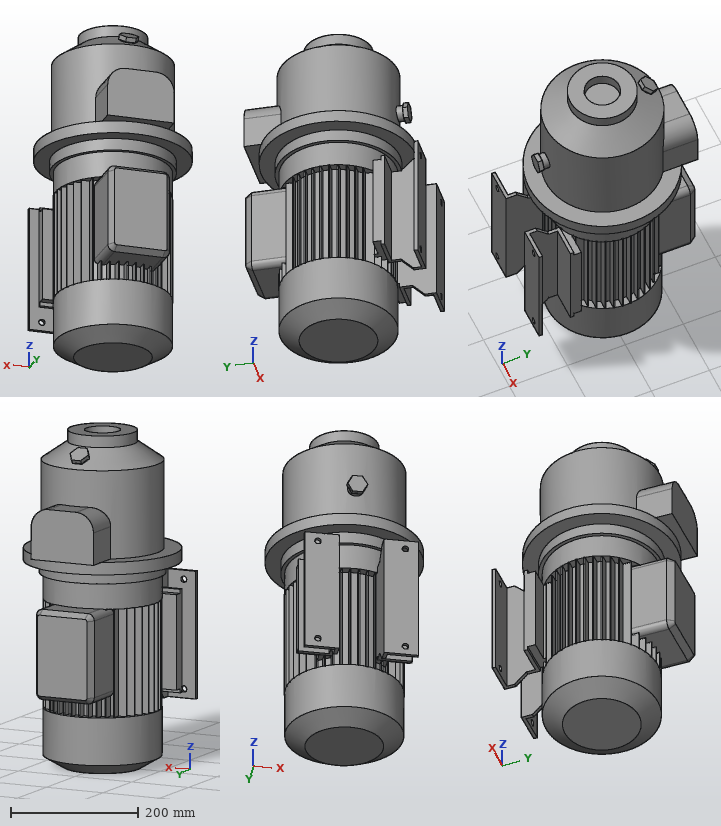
import cadquery as cq
import math


tail_cone_top = 19.0
fins_bottom = 95.5
fins_top = 269.5
motor_ring_bottom = 311.5
flange_bottom = 331.0
flange_top = 351.0
casing_cone_bottom = 492.5
neck_bottom = 521.5
overall_height = 540.0

motor_radius = 94.0
tail_end_radius = 62.0
motor_ring_radius = 100.0

core_radius = 80.0
fin_length = 15.0
fin_thickness = 2.0
fin_pitch_angle = 10.0
fins_per_side = 10

box_width = 102.0
box_bottom = 125.5
box_top = 270.5
box_corner_radius = 11.0
box_back = 140.0
box_bevel_depth = 11.0
box_bevel_inset = 7.5

foot_inner_x = 36.0
foot_outer_x = 91.0
foot_sheet = 6.0
foot_front_y = -150.0
foot_middle_z = 193.0
foot_height = 205.0
foot_narrow_height = 166.0
foot_slope_start_y = -131.0
foot_slope_end_y = -111.0
foot_flange_front_y = -96.0
foot_hole_diameter = 10.0
foot_hole_x = 70.0
foot_hole_spacing = 176.0
pad_height = 153.0
pad_back_y = -77.0
pad_neck_outer_x = 55.0
pad_neck_back_y = -58.0

flange_radius = 125.0
casing_radius = 97.0
neck_radius = 55.0
inlet_radius = 28.5
inlet_depth = overall_height - neck_bottom

outlet_width = 110.0
outlet_top = 433.5
outlet_corner_radius = 30.5
outlet_back = 140.0

plug_across_flats = 28.0
plug_head_height = 8.0
plug_stem_diameter = 25.5
drain_plug_z = 411.5
drain_stem_length = 10.0
vent_stem_length = 1.0
plug_root = 10.0


def box_between(x_range, y_range, z_range):
    """Box given by its lower and upper limits on each axis."""
    return cq.Workplane("XY").box(
        x_range[1] - x_range[0], y_range[1] - y_range[0], z_range[1] - z_range[0], centered=False
    ).translate((x_range[0], y_range[0], z_range[0]))


def revolved(profile):
    """Solid of revolution about Z from (radius, height) points."""
    return cq.Workplane("XZ").polyline(profile).close().revolve(360, (0, 0, 0), (0, 1, 0))



def motor_core():
    return revolved([
        (0, 0),
        (tail_end_radius, 0),
        (motor_radius, tail_cone_top),
        (motor_radius, fins_bottom),
        (core_radius, fins_bottom),
        (core_radius, fins_top),
        (motor_radius, fins_top),
        (motor_radius, motor_ring_bottom),
        (motor_ring_radius, motor_ring_bottom),
        (motor_ring_radius, flange_bottom),
        (0, flange_bottom),
    ])


def cooling_fins():
    """Four sets of parallel fins; roots are evenly spaced round the core, each fin equally tall.

    The fins between the feet are trimmed level with the motor pads.
    """
    beyond_feet = box_between(
        (-core_radius, core_radius),
        (foot_front_y, foot_flange_front_y + foot_sheet),
        (fins_bottom, fins_top),
    )
    fins = cq.Workplane("XY")
    for side in range(4):
        for index in range(fins_per_side):
            angle = math.radians(fin_pitch_angle * (index - (fins_per_side - 1) / 2))
            offset = core_radius * math.sin(angle)
            root = core_radius * math.cos(angle)
            fin = box_between(
                (root - fin_length, root + fin_length),
                (offset - fin_thickness / 2, offset + fin_thickness / 2),
                (fins_bottom, fins_top),
            )
            fins = fins.union(fin.rotate((0, 0, 0), (0, 0, 1), 90 * side))
    return fins.cut(beyond_feet)


def terminal_box():
    """Box on the +Y side with rounded corners and a bevelled lid."""
    middle = (box_bottom + box_top) / 2
    height = box_top - box_bottom
    lid_base = box_back - box_bevel_depth
    body = (
        cq.Workplane("XZ").center(0, middle).rect(box_width, height).extrude(-lid_base)
        .edges("|Y").fillet(box_corner_radius)
    )
    lid_face = cq.Sketch().rect(box_width, height).vertices().fillet(box_corner_radius)
    lid_end = (
        cq.Sketch().rect(box_width - 2 * box_bevel_inset, height - 2 * box_bevel_inset)
        .vertices().fillet(box_corner_radius - box_bevel_inset)
    )
    lid = (
        cq.Workplane("XZ", origin=(0, lid_base, middle))
        .placeSketch(lid_face, lid_end.moved(cq.Location(cq.Vector(0, 0, -box_bevel_depth)))).loft()
    )
    return body.union(lid)


def foot():
    """Foot on the +X side: plate, tapered web and a flange against a pad necked down to the core."""
    half_height = foot_height / 2
    half_narrow = foot_narrow_height / 2
    flange_back_y = foot_flange_front_y + foot_sheet
    web = (
        cq.Workplane("YZ", origin=(foot_inner_x, 0, foot_middle_z))
        .polyline([
            (foot_front_y, -half_height),
            (foot_slope_start_y, -half_height),
            (foot_slope_end_y, -half_narrow),
            (flange_back_y, -half_narrow),
            (flange_back_y, half_narrow),
            (foot_slope_end_y, half_narrow),
            (foot_slope_start_y, half_height),
            (foot_front_y, half_height),
        ])
        .close().extrude(foot_sheet)
    )
    plate = box_between(
        (foot_inner_x, foot_outer_x),
        (foot_front_y, foot_front_y + foot_sheet),
        (foot_middle_z - half_height, foot_middle_z + half_height),
    )
    holes = (
        cq.Workplane("XZ", origin=(foot_hole_x, foot_front_y, foot_middle_z))
        .rarray(1, foot_hole_spacing, 1, 2).circle(foot_hole_diameter / 2).extrude(-foot_sheet)
    )
    flange = box_between(
        (foot_inner_x, foot_outer_x),
        (foot_flange_front_y, flange_back_y),
        (foot_middle_z - half_narrow, foot_middle_z + half_narrow),
    )
    pad = box_between(
        (foot_inner_x, foot_outer_x),
        (flange_back_y, pad_back_y),
        (foot_middle_z - pad_height / 2, foot_middle_z + pad_height / 2),
    )
    pad_neck = box_between(
        (foot_inner_x, pad_neck_outer_x),
        (pad_back_y, pad_neck_back_y),
        (foot_middle_z - pad_height / 2, foot_middle_z + pad_height / 2),
    )
    return plate.cut(holes).union(web).union(flange).union(pad).union(pad_neck)


def build_motor():
    right_foot = foot()
    left_foot = right_foot.mirror("YZ")
    return motor_core().union(cooling_fins()).union(terminal_box()).union(right_foot).union(left_foot)



def pump_casing():
    return revolved([
        (0, flange_bottom),
        (flange_radius, flange_bottom),
        (flange_radius, flange_top),
        (casing_radius, flange_top),
        (casing_radius, casing_cone_bottom),
        (neck_radius, neck_bottom),
        (neck_radius, overall_height),
        (0, overall_height),
    ])


def outlet():
    """Outlet block towards +Y, standing on the flange, with rounded upper corners."""
    height = outlet_top - flange_top
    return (
        cq.Workplane("XZ", origin=(0, 0, flange_top + height / 2))
        .rect(outlet_width, height).extrude(-outlet_back)
        .edges("|Y and >Z").fillet(outlet_corner_radius)
    )


def plug(seat, direction, stem_length):
    """Hexagon-headed plug standing on a seat point, two corners of the head along X."""
    plane = cq.Plane(origin=seat, xDir=(1, 0, 0), normal=direction)
    stem = (
        cq.Workplane(plane).workplane(offset=-plug_root)
        .circle(plug_stem_diameter / 2).extrude(plug_root + stem_length)
    )
    across_corners = plug_across_flats / math.cos(math.pi / 6)
    head = cq.Workplane(plane).workplane(offset=stem_length).polygon(6, across_corners)
    return stem.union(head.extrude(plug_head_height))


def build_pump():
    drain_plug = plug((0, -casing_radius, drain_plug_z), (0, -1, 0), drain_stem_length)
    cone_run = casing_radius - neck_radius
    cone_rise = neck_bottom - casing_cone_bottom
    cone_middle = (0, (casing_radius + neck_radius) / 2, (casing_cone_bottom + neck_bottom) / 2)
    vent_plug = plug(cone_middle, (0, cone_rise, cone_run), vent_stem_length)
    inlet = cq.Workplane("XY", origin=(0, 0, overall_height)).circle(inlet_radius).extrude(-inlet_depth)
    return pump_casing().union(outlet()).union(drain_plug).union(vent_plug).cut(inlet)


motor = build_motor()
pump = build_pump()

result = cq.Compound.makeCompound([motor.val(), pump.val()])